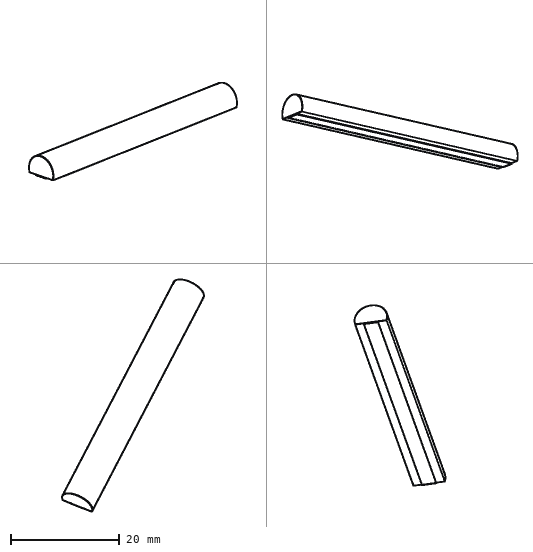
import cadquery as cq

length = 50.0
width = 6.25
height = 4.2

strip_width = 2.7
strip_depth = 0.15
strip_end_gap = 0.075
end_chamfer = 0.075

radius = width / 2
crown_z = height / 2
axis_z = crown_z - radius
strip_z = -height / 2
flat_z = strip_z + strip_depth
flat_half_width = (radius**2 - (axis_z - flat_z) ** 2) ** 0.5


def domed_bar():
    """D-shaped bar along Y, flat side down, with its end edges broken."""
    bar = (
        cq.Workplane("XZ")
        .moveTo(-flat_half_width, flat_z)
        .threePointArc((0, crown_z), (flat_half_width, flat_z))
        .close()
        .extrude(length / 2, both=True)
    )
    return bar.faces("<Y or >Y").chamfer(end_chamfer)


def underside_strip():
    """Thin raised strip centred on the flat underside."""
    strip_length = length - 2 * strip_end_gap
    return (
        cq.Workplane("XY")
        .workplane(offset=strip_z)
        .rect(strip_width, strip_length)
        .extrude(strip_depth)
    )


result = domed_bar().union(underside_strip())